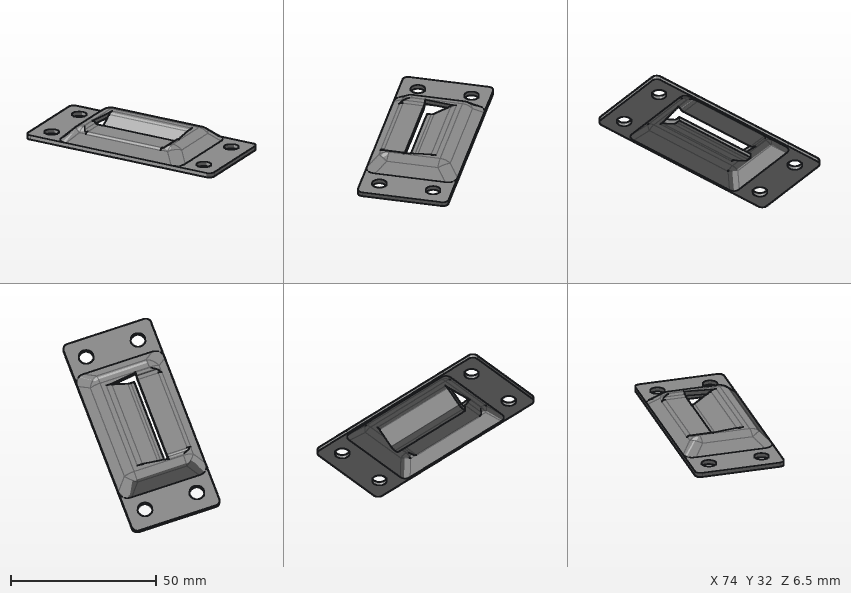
import cadquery as cq
import math

length = 74.0
width = 32.0
height = 6.5
sheet = 1.6
plate_corner_radius = 2.0
hole_diameter = 5.1
hole_x = 30.3
hole_y = 9.5

hood_half_length = 24.5
hood_half_width = width / 2
hood_radius = 5.0

panel_depth = 1.0
panel_half_length = 14.9
panel_top_half_length = 17.3
panel_back_y = -3.9
panel_bend_radius = 1.9

opening_back_y = 7.25
opening_taper_y = 5.25
opening_back_half = 15.9
opening_front_half = 17.1
tongue_angle = 34.0
tongue_end_y = -3.0
tongue_inner_radius = 1.9
tongue_outer_radius = tongue_inner_radius + sheet


def rounded_hood(inset):
    """Filleted pyramid from Z = 0, with every face moved inward by inset."""
    top = height - inset
    outward = sheet - inset * math.sqrt(2)
    half_x = hood_half_length + outward
    half_y = hood_half_width + outward
    solid = (
        cq.Workplane("XY")
        .rect(2 * half_x, 2 * half_y)
        .workplane(offset=top)
        .rect(2 * (half_x - top), 2 * (half_y - top))
        .loft(ruled=True)
    )
    return solid.edges("not <Z").fillet(hood_radius - inset)


def make_plate():
    return (
        cq.Workplane("XY")
        .box(length, width, sheet, centered=(True, True, False))
        .edges("|Z")
        .fillet(plate_corner_radius)
    )


def plate_holes():
    centers = [(x, y) for x in (-hole_x, hole_x) for y in (-hole_y, hole_y)]
    return cq.Workplane("XY").pushPoints(centers).circle(hole_diameter / 2).extrude(sheet)


def make_opening():
    return (
        cq.Workplane("XY")
        .moveTo(-opening_back_half, opening_back_y)
        .lineTo(opening_back_half, opening_back_y)
        .lineTo(opening_back_half, opening_taper_y)
        .lineTo(opening_front_half, panel_back_y)
        .lineTo(-opening_front_half, panel_back_y)
        .lineTo(-opening_back_half, opening_taper_y)
        .close()
        .extrude(height)
    )


def space_above_panel(inset):
    """Space above the bent panel, with its surface moved down by inset."""
    floor = height - panel_depth - inset
    radius = panel_bend_radius - inset
    wall_y = -(hood_half_width + sheet - inset * math.sqrt(2))
    corner_y = wall_y + floor
    bend_y = corner_y + radius * math.tan(math.pi / 8)

    def bend_point(angle):
        return (bend_y - radius * math.sin(angle), floor - radius * (1 - math.cos(angle)))

    side = (
        cq.Workplane("YZ")
        .moveTo(panel_back_y, height)
        .lineTo(panel_back_y, floor)
        .lineTo(bend_y, floor)
        .threePointArc(bend_point(math.pi / 8), bend_point(math.pi / 4))
        .lineTo(wall_y, bend_point(math.pi / 4)[1])
        .lineTo(wall_y, height)
        .close()
        .extrude(panel_top_half_length, both=True)
    )
    top = height - inset
    half_run = (panel_top_half_length - panel_half_length) / 2
    half_rise = panel_depth / 2
    middle_x = panel_half_length + half_run
    middle_z = floor + half_rise
    side_radius = (half_run**2 + half_rise**2) / (2 * half_rise)
    half_turn = math.asin(half_run / side_radius) / 2
    low_x = panel_half_length + side_radius * math.sin(half_turn)
    low_z = floor + side_radius * (1 - math.cos(half_turn))
    high_x = 2 * middle_x - low_x
    high_z = 2 * middle_z - low_z
    front = (
        cq.Workplane("XZ")
        .moveTo(-panel_half_length, 0)
        .lineTo(-panel_half_length, floor)
        .threePointArc((-low_x, low_z), (-middle_x, middle_z))
        .threePointArc((-high_x, high_z), (-panel_top_half_length, top))
        .lineTo(-panel_top_half_length, height + sheet)
        .lineTo(panel_top_half_length, height + sheet)
        .lineTo(panel_top_half_length, top)
        .threePointArc((high_x, high_z), (middle_x, middle_z))
        .threePointArc((low_x, low_z), (panel_half_length, floor))
        .lineTo(panel_half_length, 0)
        .close()
        .extrude(hood_half_width + sheet)
    )
    return side.intersect(front)


def make_tongue():
    angle = math.radians(tongue_angle)

    upper_z = height - tongue_outer_radius
    lower_z = sheet + tongue_inner_radius
    bend_drop = (tongue_outer_radius + tongue_inner_radius) * (1 - math.cos(angle))
    slope_run = (height - sheet - bend_drop) / math.tan(angle)
    bend_run = (tongue_outer_radius + tongue_inner_radius) * math.sin(angle)
    lower_y = opening_back_y - bend_run - slope_run

    def upper(radius, turn):
        return (opening_back_y - radius * math.sin(turn), upper_z + radius * math.cos(turn))

    def lower(radius, turn):
        return (lower_y + radius * math.sin(turn), lower_z - radius * math.cos(turn))

    return (
        cq.Workplane("YZ")
        .moveTo(*upper(tongue_outer_radius, 0))
        .threePointArc(upper(tongue_outer_radius, angle / 2), upper(tongue_outer_radius, angle))
        .lineTo(*lower(tongue_inner_radius, angle))
        .threePointArc(lower(tongue_inner_radius, angle / 2), lower(tongue_inner_radius, 0))
        .lineTo(tongue_end_y, sheet)
        .lineTo(tongue_end_y, 0)
        .lineTo(lower_y, 0)
        .threePointArc(lower(tongue_outer_radius, angle / 2), lower(tongue_outer_radius, angle))
        .lineTo(*upper(tongue_inner_radius, angle))
        .threePointArc(upper(tongue_inner_radius, angle / 2), upper(tongue_inner_radius, 0))
        .close()
        .extrude(opening_back_half, both=True)
    )


plate_footprint = cq.Workplane("XY").box(
    2 * hood_half_length, width, height, centered=(True, True, False)
)
hood = rounded_hood(0).intersect(plate_footprint)
panel_pocket = space_above_panel(0)
panel = space_above_panel(sheet).cut(panel_pocket).intersect(hood)

shell = make_plate().cut(plate_holes()).union(hood).cut(rounded_hood(sheet))
result = shell.cut(make_opening()).cut(panel_pocket).union(panel).union(make_tongue())